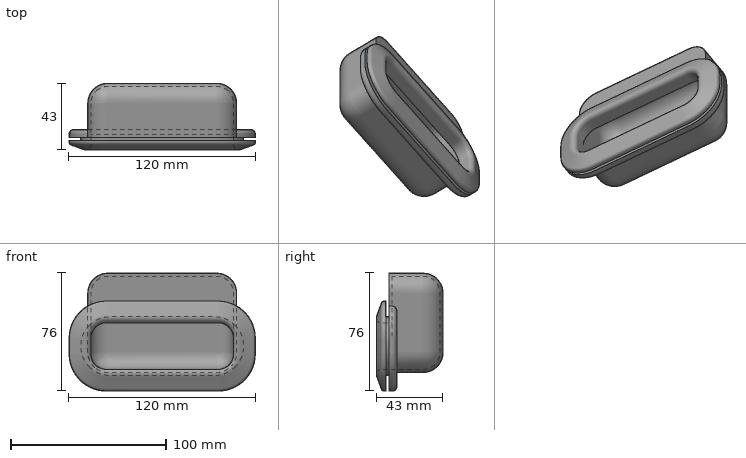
import cadquery as cq
import math

PLATE_WIDTH = 120.0
PLATE_HEIGHT = 58.0
PLATE_RADIUS = 24.0
PLATE_DEPTH = 6.2
PLATE_MID_Z = PLATE_HEIGHT / 2

SLOPE_ANGLE = math.radians(20.0)
RIM_RADIUS = 2.0
CREST_RADIUS = 5.0
LIP_RADIUS = 3.0
RING_WIDTH = 14.0

OPENING_WIDTH = PLATE_WIDTH - 2 * RING_WIDTH
OPENING_HEIGHT = PLATE_HEIGHT - 2 * RING_WIDTH
OPENING_RADIUS = PLATE_RADIUS - RING_WIDTH

HOUSING_WIDTH = 96.0
HOUSING_BOTTOM = 12.0
HOUSING_TOP = 76.0
HOUSING_FRONT = 8.0
HOUSING_BACK = 43.0
HOUSING_RADIUS = 13.0
WALL = 2.0
HOUSING_HEIGHT = HOUSING_TOP - HOUSING_BOTTOM
HOUSING_MID_Z = (HOUSING_TOP + HOUSING_BOTTOM) / 2

FLANGE_DEPTH = 5.2
FLANGE_FILLET = 3.0

NECK_WIDTH = 105.0
NECK_HEIGHT = 38.0


def rounded_block(width, height, radius, mid_z, front, back):
    """Block with rounded X-Z corners, running from Y = front to Y = back."""
    depth = back - front
    block = cq.Workplane("XY").box(width, depth, height).edges("|Y").fillet(radius)
    return block.translate((0, front + depth / 2, mid_z))


def arc_point(center, radius, angle):
    """Point on a circle; angle 0 faces the front (-Y), positive turns inward."""
    return (center[0] + radius * math.sin(angle), center[1] - radius * math.cos(angle))


def front_plate():
    """Sweep the ring section, drawn as (inward distance, Y), around the plate outline."""
    crest_inset = RING_WIDTH - LIP_RADIUS
    crest_center = (crest_inset, CREST_RADIUS)
    slope_top = arc_point(crest_center, CREST_RADIUS, -SLOPE_ANGLE)

    rim_inset = RIM_RADIUS * (1 - math.sin(SLOPE_ANGLE))
    slope_bottom_y = slope_top[1] + (slope_top[0] - rim_inset) * math.tan(SLOPE_ANGLE)
    rim_center = (RIM_RADIUS, slope_bottom_y + RIM_RADIUS * math.cos(SLOPE_ANGLE))
    rim_middle_angle = -(SLOPE_ANGLE + math.pi / 2) / 2
    lip_center = (crest_inset, LIP_RADIUS)

    section = (
        cq.Workplane("XY", origin=(-PLATE_WIDTH / 2, 0, PLATE_MID_Z))
        .moveTo(0, PLATE_DEPTH)
        .lineTo(0, rim_center[1])
        .threePointArc(
            arc_point(rim_center, RIM_RADIUS, rim_middle_angle),
            arc_point(rim_center, RIM_RADIUS, -SLOPE_ANGLE),
        )
        .lineTo(*slope_top)
        .threePointArc(
            arc_point(crest_center, CREST_RADIUS, -SLOPE_ANGLE / 2),
            (crest_inset, 0),
        )
        .threePointArc(
            arc_point(lip_center, LIP_RADIUS, math.pi / 4),
            (RING_WIDTH, LIP_RADIUS),
        )
        .lineTo(RING_WIDTH, PLATE_DEPTH)
        .close()
    )
    half_width = PLATE_WIDTH / 2
    flat_x = half_width - PLATE_RADIUS
    flat_z = PLATE_HEIGHT - PLATE_RADIUS
    outline = (
        cq.Workplane("XZ")
        .moveTo(-half_width, PLATE_MID_Z)
        .lineTo(-half_width, flat_z)
        .radiusArc((-flat_x, PLATE_HEIGHT), PLATE_RADIUS)
        .lineTo(flat_x, PLATE_HEIGHT)
        .radiusArc((half_width, flat_z), PLATE_RADIUS)
        .lineTo(half_width, PLATE_RADIUS)
        .radiusArc((flat_x, 0), PLATE_RADIUS)
        .lineTo(-flat_x, 0)
        .radiusArc((-half_width, PLATE_RADIUS), PLATE_RADIUS)
        .close()
    )
    return section.sweep(outline)


def neck():
    depth = HOUSING_FRONT - PLATE_DEPTH
    block = cq.Workplane("XZ").slot2D(NECK_WIDTH, NECK_HEIGHT).extrude(-depth)
    return block.translate((0, PLATE_DEPTH, PLATE_MID_Z))


def rear_flange():
    flange_back = HOUSING_FRONT + FLANGE_DEPTH
    flange = rounded_block(
        PLATE_WIDTH, PLATE_HEIGHT, PLATE_RADIUS, PLATE_MID_Z, HOUSING_FRONT, flange_back
    )
    return flange.faces(">Y").edges().fillet(FLANGE_FILLET)


def housing_block(inset, bottom_radius):
    """Housing outline moved inward by inset, with its own lower corner radius and a rounded back."""
    radius = HOUSING_RADIUS - inset
    front = HOUSING_FRONT + inset
    depth = HOUSING_BACK - inset - front
    block = (
        cq.Workplane("XY")
        .box(HOUSING_WIDTH - 2 * inset, depth, HOUSING_HEIGHT - 2 * inset)
        .translate((0, front + depth / 2, HOUSING_MID_Z))
    )
    block = block.edges("|Y and >Z").fillet(radius)
    block = block.edges("|Y and <Z").fillet(bottom_radius)
    return block.faces(">Y").edges().fillet(radius)


def housing_body():
    return housing_block(0, HOUSING_RADIUS)


def housing_cavity():
    """Hollow of the housing; its floor, sides and lower corners continue those of the opening."""
    return housing_block(WALL, OPENING_RADIUS)


def opening():
    """Passage from the rounded lip of the plate through the front wall of the housing."""
    passage_back = HOUSING_FRONT + FLANGE_DEPTH
    return rounded_block(
        OPENING_WIDTH, OPENING_HEIGHT, OPENING_RADIUS, PLATE_MID_Z, LIP_RADIUS, passage_back
    )


passage = opening().union(housing_cavity())
result = front_plate().union(neck()).union(rear_flange()).union(housing_body()).cut(passage)